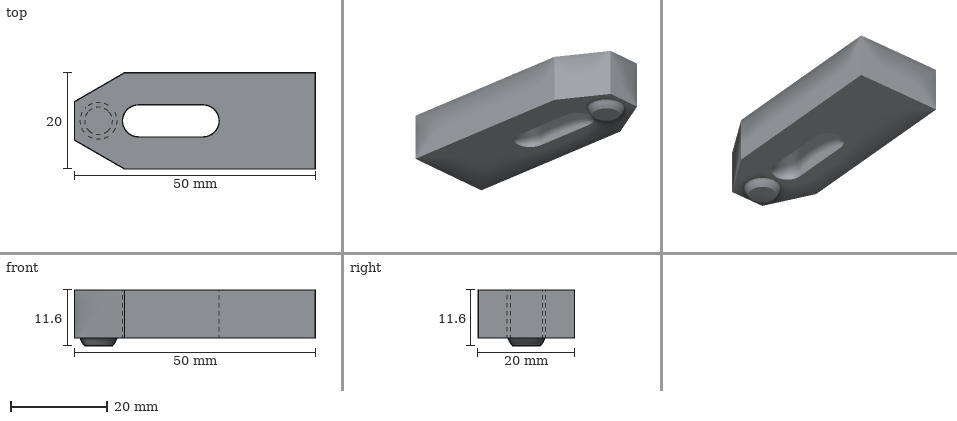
import cadquery as cq
import math

plate_length = 50.0
plate_width = 20.0
plate_thickness = 10.0
nose_width = 8.0
nose_angle = 30.0
nose_length = (plate_width - nose_width) / 2 / math.tan(math.radians(nose_angle))

slot_start = 10.0
slot_length = 20.0
slot_width = 6.6

pad_x = 5.0
pad_height = 1.6
ball_radius = 4.0
ball_center_z = 1.2


def make_clamp_plate():
    """Plate with a tapered nose and a through slot."""
    outline = [
        (0, -nose_width / 2),
        (nose_length, -plate_width / 2),
        (plate_length, -plate_width / 2),
        (plate_length, plate_width / 2),
        (nose_length, plate_width / 2),
        (0, nose_width / 2),
    ]
    plate = cq.Workplane("XY").polyline(outline).close().extrude(plate_thickness)
    slot = (
        cq.Workplane("XY")
        .center(slot_start + slot_length / 2, 0)
        .slot2D(slot_length, slot_width)
        .extrude(plate_thickness)
    )
    return plate.cut(slot)


def ball_section_radius(z):
    """Radius of the ball's circular section at height z."""
    return math.sqrt(ball_radius**2 - (z - ball_center_z) ** 2)


def make_pressure_pad():
    """Rounded pad seated flat against the plate underside."""
    profile = (
        cq.Workplane("XZ", origin=(pad_x, 0, 0))
        .lineTo(ball_section_radius(0), 0)
        .threePointArc(
            (ball_section_radius(-pad_height / 2), -pad_height / 2),
            (ball_section_radius(-pad_height), -pad_height),
        )
        .lineTo(0, -pad_height)
        .close()
    )
    return profile.revolve(360, (0, 0, 0), (0, 1, 0))


clamp_plate = make_clamp_plate()
pressure_pad = make_pressure_pad()

result = cq.Compound.makeCompound([clamp_plate.val(), pressure_pad.val()])